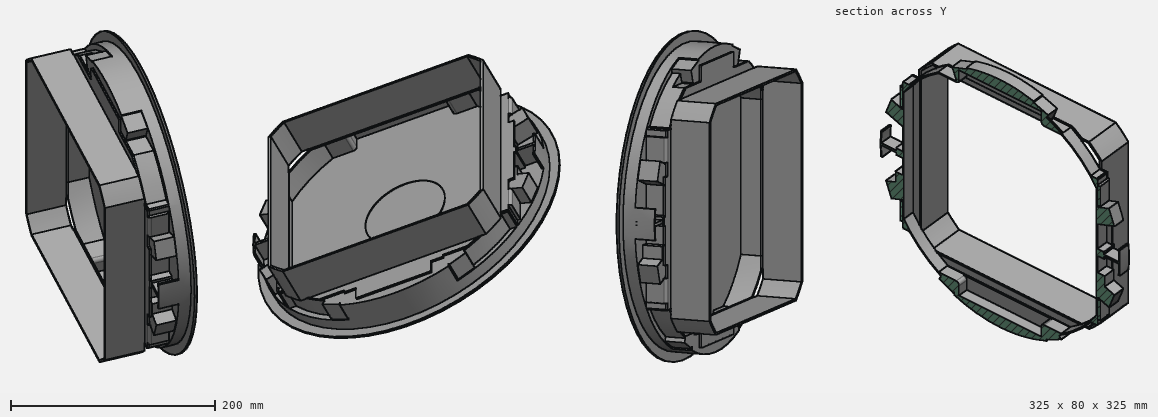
import cadquery as cq
import math

flange_depth = 3.5
floor_depth = 12.0
ledge_depth = 16.2
top_flat_depth = 25.0
ring_depth = 37.0
plate_depth = 39.0
total_depth = 80.0

tolerance = 0.03

flange_radius = 162.5
flange_round_width = 4.0
flange_round_height = 2.3

cover_radius = 43.0
cover_recess = 0.5

ring_radius = 152.5
wall = 2.0
core_radius = 146.5
core_half_width = 123.8
core_side_half_height = 90.5
cavity_radius = core_radius - wall
cavity_half_size = core_half_width - wall
pocket_half_width = 52.0
pocket_reach = 138.0
pocket_corner_radius = 4.0
top_segment_half_width = 42.5
bottom_segment_half_width = 58.5
top_flat_inner_x = 48.8
curb_half_width = 56.2
curb_z = 126.5

block_width = 20.0
block_outer = 150.8
block_inner = 113.8
block_angles = [20, 70, 110, 160, 200, 243, 297, 340]

boss_x = 132.0
boss_half_height = 4.5
rib_half_thickness = 1.5
rim_wall_half_height = 15.5
side_step_x = 133.0
side_step_top = -24.7
side_step_bottom = -42.2

frame_width = 232.0
frame_height = 230.0
frame_opening = 226.2
frame_inner_radius = 150.0

plate_inner = frame_opening / 2
plate_corner_radius = 1.5
plate_tongue_half_width = 40.5
top_plate_tongue_z = 139.8
bottom_plate_z = 123.0
bottom_plate_step_z = 125.8
bottom_plate_step_half_width = 53.3
bottom_plate_tongue_z = 141.5
side_plate_half_height = 89.5
side_plate_middle_x = 130.0
side_plate_middle_half_height = 44.0
tab_x = 127.0
tab_bottom = 57.5
tab_top = 82.5
tab_rear_depth = 17.5
tab_bend_radius = 3.0


def box(x0, x1, z0, z1, near, far):
    """Block between two X values, two Z values and two depths."""
    return cq.Workplane("XY").box(x1 - x0, far - near, z1 - z0, centered=False).translate((x0, -far, z0))


def disc(radius, near, far):
    """Round disc about the Y axis between two depths."""
    return cq.Workplane("XZ", origin=(0, -near, 0)).circle(radius).extrude(far - near)


def mirror_x(shape):
    return shape.mirror("YZ")


def round_corners(shape, half_width, z0, z1, radius):
    """Round the edges along Y that lie within a half width of the middle and between two Z values."""
    low = (-half_width - tolerance, -total_depth, z0 - tolerance)
    high = (half_width + tolerance, 0, z1 + tolerance)
    return shape.edges("|Y").edges(cq.selectors.BoxSelector(low, high)).fillet(radius)


def make_flange():
    """Thin disc whose rear edge is rounded over."""
    profile = (
        cq.Workplane("XY")
        .lineTo(flange_radius - flange_round_width, 0)
        .spline([(flange_radius, -flange_round_height)], tangents=[(1, 0), (0, -1)], includeCurrent=True)
        .lineTo(flange_radius, -flange_depth)
        .lineTo(0, -flange_depth)
        .close()
    )
    return profile.revolve(360, (0, 0, 0), (0, 1, 0))


def ring_layer(shape_radius):
    return disc(shape_radius, ledge_depth, ring_depth)


def ring_box(x0, x1, z0, z1):
    return box(x0, x1, z0, z1, ledge_depth, ring_depth)


def make_ring_core():
    """Middle of the ring: round, with flat sides and a flat at each top corner, the left one shallower."""
    band = ring_box(-core_half_width, core_half_width, -ring_radius, ring_radius)
    sides = ring_box(-core_half_width, core_half_width, -core_side_half_height, core_side_half_height)
    core = ring_layer(core_radius).intersect(band).union(sides)
    x0 = top_flat_inner_x
    x1 = core_half_width
    left_cut = box(-x1, -x0, core_half_width, ring_radius, top_flat_depth, ring_depth)
    right_cut = ring_box(x0, x1, core_half_width, ring_radius)
    return core.cut(left_cut).cut(right_cut)


def make_ring_blocks():
    block = ring_box(block_inner, block_outer, -block_width / 2, block_width / 2)
    blocks = cq.Workplane("XZ")
    for angle in block_angles:
        blocks = blocks.add(block.rotate((0, 0, 0), (0, -1, 0), angle))
    return blocks.combine()


def make_ring_side():
    """Boss, rib, rim wall and step on the -X side."""
    boss = ring_box(-boss_x, -plate_inner, -boss_half_height, boss_half_height)
    rib = ring_box(-ring_radius, -plate_inner, -rib_half_thickness, rib_half_thickness)
    step = ring_box(-side_step_x, -plate_inner, side_step_bottom, side_step_top)
    rim_window = ring_box(-ring_radius, -plate_inner, -rim_wall_half_height, rim_wall_half_height)
    rim_wall = ring_layer(ring_radius).cut(ring_layer(ring_radius - wall)).intersect(rim_window)
    return boss.union(rib).union(step).union(rim_wall)


def make_cavity():
    """Hollow behind the frame, with an undercut pocket above and below."""
    size = cavity_half_size
    cavity = disc(cavity_radius, floor_depth, ring_depth)
    cavity = cavity.intersect(box(-size, size, -size, size, floor_depth, ring_depth))
    pocket_far = ring_depth - wall
    pocket = box(-pocket_half_width, pocket_half_width, -pocket_reach, pocket_reach, floor_depth, pocket_far)
    cavity = cavity.union(pocket)
    return round_corners(cavity, pocket_half_width, -size, size, pocket_corner_radius)


def make_ring():
    side = make_ring_side()
    top = ring_box(-top_segment_half_width, top_segment_half_width, core_half_width, ring_radius)
    bottom = ring_box(-bottom_segment_half_width, bottom_segment_half_width, -ring_radius, -core_half_width)
    upright = make_ring_core().union(make_ring_blocks()).union(side).union(mirror_x(side))
    curb = ring_box(-curb_half_width, curb_half_width, 0, curb_z)
    upright = upright.union(top).union(bottom).union(curb)
    notches = ring_layer(ring_radius + wall).cut(upright)
    ring = disc(ring_radius, flange_depth, ring_depth).cut(notches)
    return ring.cut(make_cavity()).cut(disc(cover_radius, flange_depth, floor_depth))


def clipped_square(width, height, radius):
    """Rectangle whose corners are trimmed to a circle."""
    square = box(-width / 2, width / 2, -height / 2, height / 2, plate_depth, total_depth)
    return square.intersect(disc(radius, plate_depth, total_depth))


def make_frame():
    outside = clipped_square(frame_width, frame_height, ring_radius)
    return outside.cut(clipped_square(frame_opening, frame_opening, frame_inner_radius))


def plate_box(x0, x1, z0, z1):
    return box(x0, x1, z0, z1, ring_depth, plate_depth)


def make_top_plate():
    half_length = math.sqrt(core_radius**2 - plate_inner**2)
    strip = plate_box(-half_length, half_length, plate_inner, core_half_width)
    strip = strip.intersect(disc(core_radius, ring_depth, plate_depth))
    tongue = plate_box(-plate_tongue_half_width, plate_tongue_half_width, plate_inner, top_plate_tongue_z)
    plate = strip.union(tongue)
    half_width = plate_tongue_half_width
    return round_corners(plate, half_width, core_half_width, top_plate_tongue_z, plate_corner_radius)


def make_bottom_plate():
    half_length = math.sqrt(core_radius**2 - plate_inner**2)
    strip = plate_box(-half_length, half_length, -bottom_plate_z, -plate_inner)
    strip = strip.intersect(disc(core_radius, ring_depth, plate_depth))
    step_half = bottom_plate_step_half_width
    step = plate_box(-step_half, step_half, -bottom_plate_step_z, -plate_inner)
    tongue_half = plate_tongue_half_width
    tongue = plate_box(-tongue_half, tongue_half, -bottom_plate_tongue_z, -plate_inner)
    tongue = tongue.edges("|Y and <Z").fillet(plate_corner_radius)
    return strip.union(step).union(tongue)


def make_side_plate():
    """Plate on the -X side with two tabs bent back along the ring wall."""
    strip = plate_box(-core_half_width, -plate_inner, -side_plate_half_height, side_plate_half_height)
    half_height = side_plate_middle_half_height
    middle = plate_box(-side_plate_middle_x, -plate_inner, -half_height, half_height)
    boss = plate_box(-boss_x, -plate_inner, -boss_half_height, boss_half_height)
    plate = strip.union(middle)
    plate = round_corners(plate, core_half_width, -half_height, half_height, plate_corner_radius)
    plate = plate.union(boss)
    for z0, z1 in ((-tab_top, -tab_bottom), (tab_bottom, tab_top)):
        tab = box(-tab_x, -core_half_width, z0, z1, tab_rear_depth, plate_depth)
        plate = plate.union(tab.edges("<X and <Y").fillet(tab_bend_radius))
    return plate


flange = make_flange()
cover = disc(cover_radius, flange_depth, floor_depth - cover_recess)
ring = make_ring()
frame = make_frame()
top_plate = make_top_plate()
bottom_plate = make_bottom_plate()
left_plate = make_side_plate()
right_plate = mirror_x(left_plate)
bodies = [flange, cover, ring, frame, top_plate, bottom_plate, left_plate, right_plate]
result = cq.Compound.makeCompound([body.val() for body in bodies])